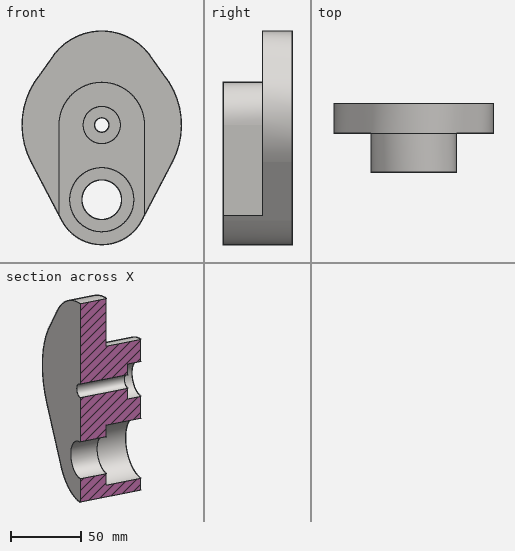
import cadquery as cq
import math

body_radius = 56.9
top_height = 67.1
total_height = 152.5
nose_radius = 32.2
nose_z = top_height - total_height + nose_radius

flat_top_x = 36.5
flat_top_z = 46.7
flat_bottom_x = 44.0
flat_bottom_z = math.sqrt(body_radius**2 - flat_bottom_x**2)

total_depth = 49.3
plate_thickness = 21.3
boss_height = total_depth - plate_thickness
boss_radius = 30.5

pivot_hole_diameter = 10.0
pivot_counterbore_diameter = 26.5
pivot_counterbore_depth = 10.7
nose_hole_diameter = 28.0
nose_counterbore_diameter = 45.7
nose_counterbore_depth = boss_height


def extrude_back(profile, start, depth):
    """Extrude an XZ profile toward +Y, beginning at Y = start."""
    return profile.extrude(-depth).translate((0, start, 0))


def outline():
    """Closed plate outline; the lower sides are tangent to the body and nose arcs."""
    tangent_sin = (body_radius - nose_radius) / -nose_z
    tangent_cos = math.sqrt(1 - tangent_sin**2)
    side_x = body_radius * tangent_cos
    side_z = -body_radius * tangent_sin
    nose_x = nose_radius * tangent_cos
    nose_side_z = nose_z - nose_radius * tangent_sin
    return (
        cq.Workplane("XZ")
        .moveTo(-flat_top_x, flat_top_z)
        .threePointArc((0, top_height), (flat_top_x, flat_top_z))
        .lineTo(flat_bottom_x, flat_bottom_z)
        .threePointArc((body_radius, 0), (side_x, side_z))
        .lineTo(nose_x, nose_side_z)
        .threePointArc((0, nose_z - nose_radius), (-nose_x, nose_side_z))
        .lineTo(-side_x, side_z)
        .threePointArc((-body_radius, 0), (-flat_bottom_x, flat_bottom_z))
        .close()
    )


def boss():
    """Round-topped boss, trimmed at the bottom by the plate outline."""
    bottom_z = top_height - total_height
    profile = (
        cq.Workplane("XZ")
        .moveTo(-boss_radius, 0)
        .threePointArc((0, boss_radius), (boss_radius, 0))
        .lineTo(boss_radius, bottom_z)
        .lineTo(-boss_radius, bottom_z)
        .close()
    )
    full_block = extrude_back(outline(), 0, total_depth)
    return extrude_back(profile, 0, total_depth).intersect(full_block)


def stepped_hole(z, diameter, counterbore_diameter, counterbore_depth):
    """Through hole along Y with a counterbore opening at the front face."""
    through_profile = cq.Workplane("XZ").center(0, z).circle(diameter / 2)
    counterbore_profile = cq.Workplane("XZ").center(0, z).circle(counterbore_diameter / 2)
    through = extrude_back(through_profile, 0, total_depth)
    counterbore = extrude_back(counterbore_profile, 0, counterbore_depth)
    return through.union(counterbore)


plate = extrude_back(outline(), boss_height, plate_thickness)
pivot_hole = stepped_hole(
    0, pivot_hole_diameter, pivot_counterbore_diameter, pivot_counterbore_depth
)
nose_hole = stepped_hole(
    nose_z, nose_hole_diameter, nose_counterbore_diameter, nose_counterbore_depth
)
result = plate.union(boss()).cut(pivot_hole).cut(nose_hole)